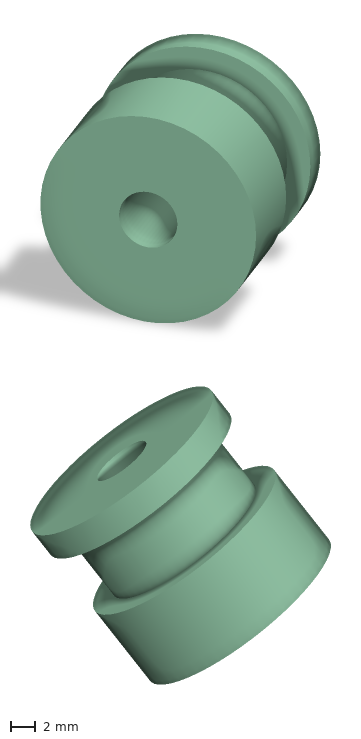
import cadquery as cq

outer_diameter = 18.5
groove_diameter = 14.5
bore_diameter = 5.0
total_length = 16.0
front_rim_length = 7.5
back_flange_length = 2.5
groove_length = total_length - front_rim_length - back_flange_length


def cylinder_along_y(diameter, start_y, length):
    """Solid cylinder about the Y axis, running from start_y toward +Y."""
    plane = cq.Workplane("XZ", origin=(0, start_y, 0))
    return plane.circle(diameter / 2).extrude(-length)


blank = cylinder_along_y(outer_diameter, 0, total_length)

groove_blank = cylinder_along_y(outer_diameter, front_rim_length, groove_length)
groove_core = cylinder_along_y(groove_diameter, front_rim_length, groove_length)
groove = groove_blank.cut(groove_core)

bore = cylinder_along_y(bore_diameter, 0, total_length)

result = blank.cut(groove).cut(bore)